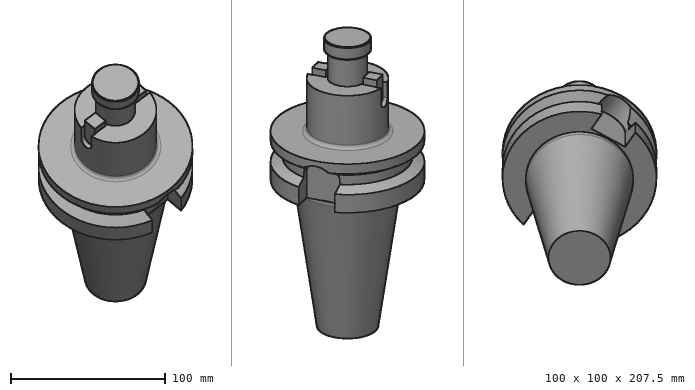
import cadquery as cq
import math

total_height = 207.5
taper_top = 101.6
lower_flange_bottom = 105.0
lower_flange_edge = 118.0
groove_bottom = 121.5
groove_top = 128.4
upper_flange_edge = 133.0
flange_top = 140.0
collar_top = 178.0
pilot_top = 197.7

taper_small_radius = 20.1
taper_large_radius = 34.8
flange_radius = 50.0
groove_radius = 42.3
collar_radius = 26.5
collar_fillet = 2.7
pilot_radius = 12.9

slot_width = 25.7
slot_top = 136.3
slot_floor = 35.7

key_width = 9.5
key_top = 183.0
key_seat_bottom = 162.5
key_inner = 13.3
key_outer = 23.0

head_radius = 15.3
head_top_chamfer = 0.6
head_bottom_chamfer = 1.2


def turned_body():
    """Taper, grooved flange, collar and pilot, revolved about Z."""
    fillet_dip = collar_fillet * (1 - math.sqrt(0.5))
    return (
        cq.Workplane("XZ")
        .moveTo(0, 0)
        .lineTo(taper_small_radius, 0)
        .lineTo(taper_large_radius, taper_top)
        .lineTo(taper_large_radius, lower_flange_bottom)
        .lineTo(flange_radius, lower_flange_bottom)
        .lineTo(flange_radius, lower_flange_edge)
        .lineTo(groove_radius, groove_bottom)
        .lineTo(groove_radius, groove_top)
        .lineTo(flange_radius, upper_flange_edge)
        .lineTo(flange_radius, flange_top)
        .lineTo(collar_radius + collar_fillet, flange_top)
        .threePointArc(
            (collar_radius + fillet_dip, flange_top + fillet_dip),
            (collar_radius, flange_top + collar_fillet),
        )
        .lineTo(collar_radius, collar_top)
        .lineTo(pilot_radius, collar_top)
        .lineTo(pilot_radius, pilot_top)
        .lineTo(0, pilot_top)
        .close()
        .revolve(360, (0, 0), (0, 1))
    )


def drive_slot(side):
    """Round-topped cutter for the flange slot on the -X (side=-1) or +X (side=1) side."""
    half_width = slot_width / 2
    arc_center = slot_top - half_width
    return (
        cq.Workplane("YZ", origin=(side * slot_floor, 0, 0))
        .moveTo(-half_width, lower_flange_bottom)
        .lineTo(-half_width, arc_center)
        .threePointArc((0, slot_top), (half_width, arc_center))
        .lineTo(half_width, lower_flange_bottom)
        .close()
        .extrude(side * (flange_radius - slot_floor))
    )


def key_seat(side):
    """Round-bottomed cutter for the collar wall outside the key on the -Y or +Y side."""
    half_width = key_width / 2
    arc_center = key_seat_bottom + half_width
    return (
        cq.Workplane("XZ", origin=(0, side * key_outer, 0))
        .moveTo(-half_width, collar_top)
        .lineTo(-half_width, arc_center)
        .threePointArc((0, key_seat_bottom), (half_width, arc_center))
        .lineTo(half_width, collar_top)
        .close()
        .extrude(-side * (collar_radius - key_outer))
    )


def drive_key(side):
    """Key block standing on the collar face on the -Y or +Y side."""
    return (
        cq.Workplane("XY", origin=(0, side * (key_inner + key_outer) / 2, collar_top))
        .rect(key_width, key_outer - key_inner)
        .extrude(key_top - collar_top)
    )


def make_holder():
    body = turned_body()
    for side in (-1, 1):
        body = body.cut(drive_slot(side))
        body = body.cut(key_seat(side))
        body = body.union(drive_key(side))
    return body


def make_screw_head():
    """Chamfered disc seated on the end of the pilot."""
    return (
        cq.Workplane("XY", origin=(0, 0, pilot_top))
        .circle(head_radius)
        .extrude(total_height - pilot_top)
        .faces(">Z")
        .chamfer(head_top_chamfer)
        .faces("<Z")
        .chamfer(head_bottom_chamfer)
    )


holder = make_holder()
screw_head = make_screw_head()

result = cq.Compound.makeCompound([holder.solids().val(), screw_head.val()])